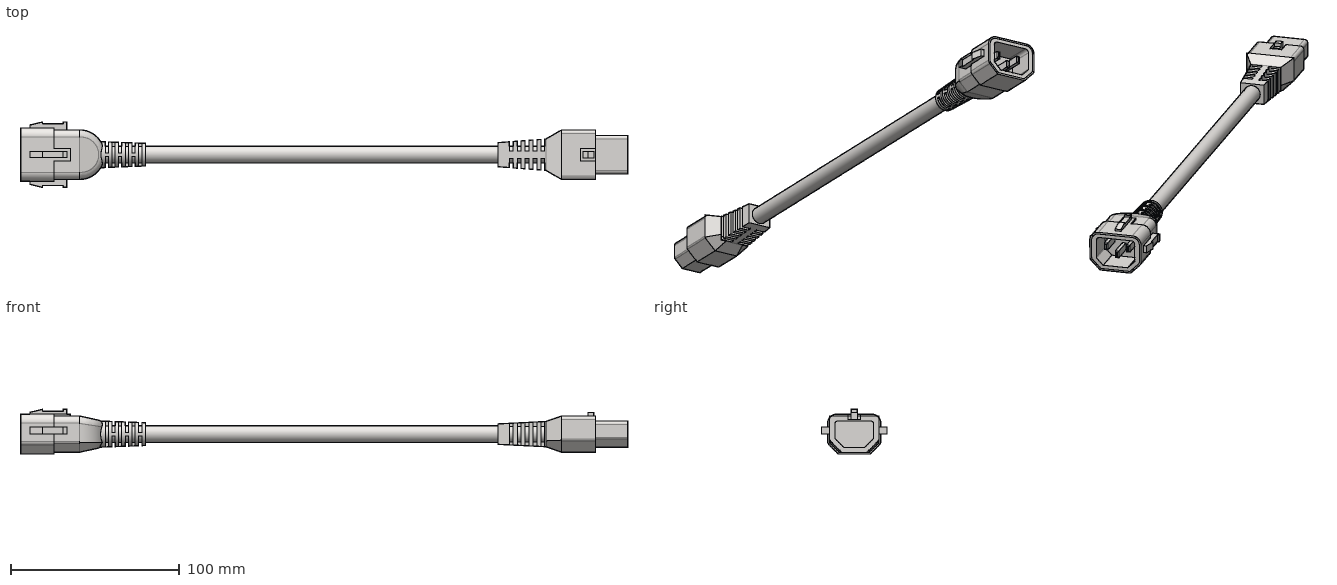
import cadquery as cq
import math


LENGTH = 359.8

cable_radius = 5.0
cable_start = 46.8
cable_end = 313.0

plug_half_width = 14.7
plug_half_height = 10.8
plug_chamfer = 5.8
plug_top_radius = 4.3
plug_edge_radius = 1.8
plug_straight = 35.0
plug_tail_end = plug_straight + plug_half_width
plug_tail_half_height = 7.5

socket_wall = 3.0
socket_roof = 2.0
socket_depth = 18.0
socket_chamfer = 4.3
socket_top_radius = 2.0
socket_edge_radius = 0.5
pin_width = 2.0
pin_height = 4.3
pin_length = 15.0
pin_tip = 0.7
pin_spots = [(-7.0, 2.0), (7.0, 2.0), (0.0, -2.0)]
floor_slot_width = 4.0
floor_slot_height = 0.7
floor_slot_z = 6.5
floor_slot_depth = 1.0

boot_start = 45.0
boot_end = 74.0
boot_start_radius = 8.0
boot_end_radius = 7.0
boot_slot_count = 6
boot_slot_first = 51.0
boot_slot_pitch = 4.0
boot_slot_width = 1.8
boot_spine_width = 2.0

sleeve_wall = 1.0
sleeve_length = 19.8
tongue_end = 29.5
tongue_width = 7.5
latch_start = 5.5
latch_end = 27.5
latch_peak = 13.0
latch_post = 2.0
latch_step = 1.0
latch_nose_drop = 1.8
top_latch_reach = 14.7
top_latch_width = 3.5
side_latch_reach = 19.5
side_latch_width = 4.3
side_latch_z = 2.0

shell_start = 320.5
shell_end = 340.7
shell_half_width = 14.7
shell_half_height = 10.8
shell_chamfer = 7.2
shell_top_radius = 2.0
shell_edge_radius = 1.5
nose_half_width = 11.5
nose_half_height = 8.0
nose_chamfer = 5.5

neck_start = 311.2
neck_half_width = 9.5
neck_half_height = 7.5
neck_chamfer = 3.5
grip_start = 282.8
grip_start_half_width = 7.2
grip_start_half_height = 6.0
grip_slot_count = 5
grip_slot_first = 290.5
grip_slot_pitch = 4.5
grip_slot_width = 2.0
grip_spine_width = 4.3

recess_start = 331.7
recess_width = 7.2
recess_depth = 2.0
button_start = 333.0
button_width = 4.0
post_start = 336.0
post_end = 339.5
post_top = 13.0


def box(x_range, y_range, z_range):
    """Box between the two given limits on each axis."""
    size = [high - low for low, high in (x_range, y_range, z_range)]
    return cq.Workplane("XY").box(*size, centered=False).translate((x_range[0], y_range[0], z_range[0]))


def outline_points(half_width, half_height, chamfer):
    """Corners in (Y, Z) of a rectangle whose two lower corners are chamfered at 45 degrees."""
    shoulder = chamfer - half_height
    foot = half_width - chamfer
    return [
        (-half_width, half_height),
        (half_width, half_height),
        (half_width, shoulder),
        (foot, -half_height),
        (-foot, -half_height),
        (-half_width, shoulder),
    ]


def outline(half_width, half_height, chamfer, top_radius, edge_radius):
    """Keyed outline with rounded top corners and rounded upper ends of the chamfers."""
    points = outline_points(half_width, half_height, chamfer)
    shoulder = chamfer - half_height
    near_shoulder = cq.selectors.BoxSelector(
        (-2 * half_width, shoulder - edge_radius, -edge_radius),
        (2 * half_width, shoulder + edge_radius, edge_radius),
    )
    sketch = cq.Sketch().polygon([*points, points[0]])
    sketch = sketch.vertices(near_shoulder).fillet(edge_radius).reset()
    return sketch.vertices(">Y").fillet(top_radius).reset()


def prism(sketch, start, end):
    """Outline extruded along X."""
    return cq.Workplane("YZ", origin=(start, 0, 0)).placeSketch(sketch).extrude(end - start)


def round_bar(start, end, start_radius, end_radius):
    """Round, possibly tapered bar on the X axis."""
    profile = [(start, 0), (start, start_radius), (end, end_radius), (end, 0)]
    return cq.Workplane("XZ").polyline(profile).close().revolve(360, (0, 0, 0), (1, 0, 0))


def slot_pair(center, width, spine_width):
    """Two cutters across X that leave a central spine running in Z."""
    reach = plug_half_width
    cutter = None
    for side in (-1, 1):
        limits = sorted((side * spine_width / 2, side * reach))
        block = box((center - width / 2, center + width / 2), limits, (-reach, reach))
        cutter = block if cutter is None else cutter.union(block)
    return cutter


def make_cable():
    return round_bar(cable_start, cable_end, cable_radius, cable_radius)


def plug_outline():
    return outline(plug_half_width, plug_half_height, plug_chamfer, plug_top_radius, plug_edge_radius)


def plug_tail():
    """Rounded rear end, chamfered below, thinned towards the boot and rounded along its top edge."""
    corners = outline_points(plug_half_width, plug_half_height, plug_chamfer)
    positive_side = [(y, z) for y, z in corners if y > 0]
    half = [(0, plug_half_height), *positive_side, (0, -plug_half_height)]
    tail = (
        cq.Workplane("YZ", origin=(plug_straight, 0, 0))
        .polyline(half)
        .close()
        .revolve(180, (0, 0, 0), (0, -1, 0))
    )
    side = [
        (plug_straight, -plug_half_height),
        (plug_straight, plug_half_height),
        (plug_tail_end, plug_tail_half_height),
        (plug_tail_end, -plug_tail_half_height),
    ]
    wedge = cq.Workplane("XZ").polyline(side).close().extrude(plug_half_width, both=True)
    tail = tail.intersect(wedge)
    return tail.faces(">Z").edges("not(<X)").fillet(plug_top_radius)


def plug_boot():
    """Tapered strain relief whose slots alternate between the sides and the top and bottom."""
    boot = round_bar(boot_start, boot_end, boot_start_radius, boot_end_radius)
    for index in range(boot_slot_count):
        center = boot_slot_first + index * boot_slot_pitch
        turn = 90 * (index % 2)
        slots = slot_pair(center, boot_slot_width, boot_spine_width)
        boot = boot.cut(slots.rotate((0, 0, 0), (1, 0, 0), turn))
    return boot


def plug_socket():
    """Cavity open at the front, with a shallow slot in its floor."""
    shape = outline(
        plug_half_width - socket_wall,
        plug_half_height - socket_roof,
        socket_chamfer,
        socket_top_radius,
        socket_edge_radius,
    )
    slot = box(
        (socket_depth, socket_depth + floor_slot_depth),
        (-floor_slot_width / 2, floor_slot_width / 2),
        (floor_slot_z - floor_slot_height / 2, floor_slot_z + floor_slot_height / 2),
    )
    return prism(shape, 0, socket_depth).union(slot)


def contact_pin(y, z):
    """Flat contact blade standing on the socket floor, with a chamfered tip."""
    return (
        cq.Workplane("YZ", origin=(socket_depth, 0, 0))
        .center(y, z)
        .rect(pin_width, pin_height)
        .extrude(-pin_length)
        .faces("<X")
        .chamfer(pin_tip)
    )


def make_plug():
    plug = prism(plug_outline(), 0, plug_straight).union(plug_tail())
    plug = plug.union(plug_boot()).cut(plug_socket())
    for y, z in pin_spots:
        plug = plug.union(contact_pin(y, z))
    return plug.cut(make_cable())


def latch(base, reach, width):
    """Latch arm on the top: a rising ramp, a lower flat and a raised end post."""
    flat = reach - latch_step
    side = [
        (latch_start, base),
        (latch_start, reach - latch_nose_drop),
        (latch_peak, reach),
        (latch_peak, flat),
        (latch_end - latch_post, flat),
        (latch_end - latch_post, reach),
        (latch_end, reach),
        (latch_end, base),
    ]
    return cq.Workplane("XZ").polyline(side).close().extrude(width / 2, both=True)


def make_sleeve():
    outside = prism(
        outline(
            plug_half_width + sleeve_wall,
            plug_half_height + sleeve_wall,
            plug_chamfer + sleeve_wall * (2 - math.sqrt(2)),
            plug_top_radius + sleeve_wall,
            plug_edge_radius + sleeve_wall,
        ),
        0,
        sleeve_length,
    )
    tongue = box(
        (0, tongue_end),
        (-tongue_width / 2, tongue_width / 2),
        (plug_half_height, plug_half_height + sleeve_wall),
    )
    sleeve = outside.union(tongue).cut(prism(plug_outline(), 0, sleeve_length))
    sleeve = sleeve.union(latch(plug_half_height, top_latch_reach, top_latch_width))
    side_latch = latch(plug_half_width, side_latch_reach, side_latch_width)
    for turn in (-90, 90):
        turned = side_latch.rotate((0, 0, 0), (1, 0, 0), turn)
        sleeve = sleeve.union(turned.translate((0, 0, side_latch_z)))
    return sleeve


def connector_neck():
    """Flare from the boot up to the connector body."""
    small = outline_points(neck_half_width, neck_half_height, neck_chamfer)
    large = outline_points(shell_half_width, shell_half_height, shell_chamfer)
    return (
        cq.Workplane("YZ", origin=(neck_start, 0, 0))
        .polyline(small)
        .close()
        .workplane(offset=shell_start - neck_start)
        .polyline(large)
        .close()
        .loft(ruled=True)
    )


def connector_boot():
    """Tapered rectangular strain relief with side slots that leave a spine above and below."""
    boot = (
        cq.Workplane("YZ", origin=(grip_start, 0, 0))
        .rect(2 * grip_start_half_width, 2 * grip_start_half_height)
        .workplane(offset=neck_start - grip_start)
        .rect(2 * neck_half_width, 2 * neck_half_height)
        .loft(ruled=True)
    )
    for index in range(grip_slot_count):
        center = grip_slot_first + index * grip_slot_pitch
        boot = boot.cut(slot_pair(center, grip_slot_width, grip_spine_width))
    return boot


def add_button(shell):
    """Recess open to the front, holding the button and its raised post."""
    floor = shell_half_height - recess_depth
    half_recess = recess_width / 2
    half_button = button_width / 2
    recess = box((recess_start, shell_end), (-half_recess, half_recess), (floor, shell_half_height))
    button = box((button_start, post_start), (-half_button, half_button), (floor, shell_half_height))
    post = box((post_start, post_end), (-half_button, half_button), (floor, post_top))
    return shell.cut(recess).union(button).union(post)


def make_connector():
    shell_shape = outline(
        shell_half_width, shell_half_height, shell_chamfer, shell_top_radius, shell_edge_radius
    )
    nose_shape = outline(
        nose_half_width, nose_half_height, nose_chamfer, shell_top_radius, shell_edge_radius
    )
    shell = add_button(prism(shell_shape, shell_start, shell_end))
    connector = shell.union(prism(nose_shape, shell_end, LENGTH))
    connector = connector.union(connector_neck()).union(connector_boot())
    return connector.cut(make_cable())


plug = make_plug()
sleeve = make_sleeve()
cable = make_cable()
connector = make_connector()

bodies = [plug, sleeve, cable, connector]
result = cq.Compound.makeCompound([body.solids().val() for body in bodies])